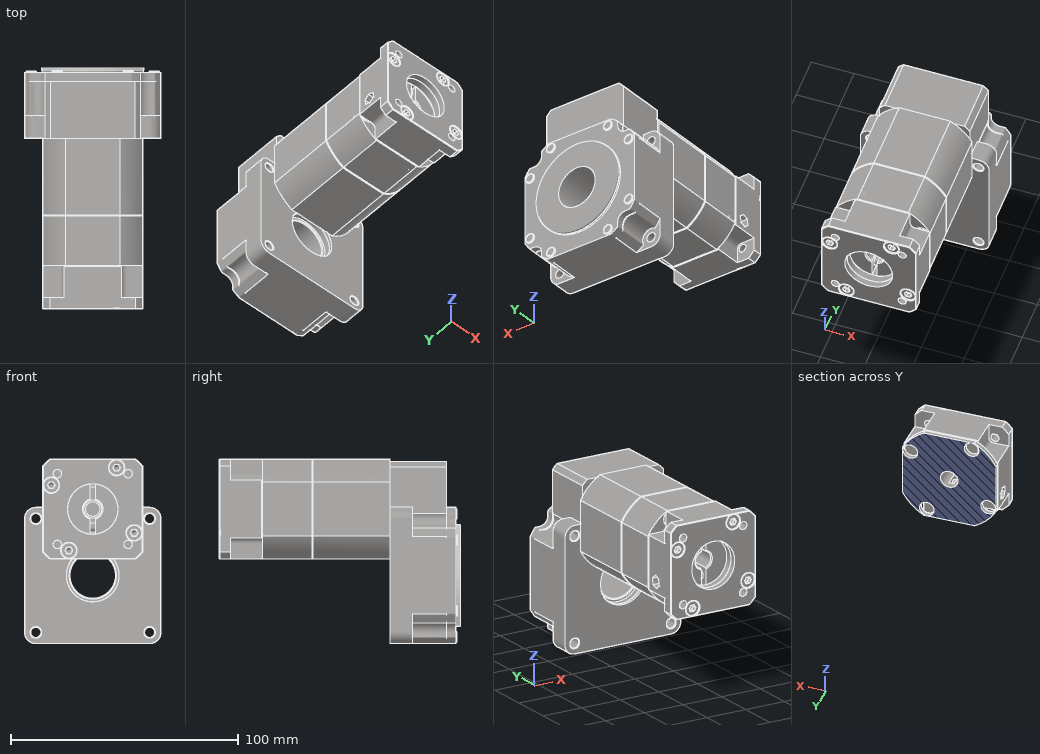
import cadquery as cq
import math

INPUT_AXIS_Z = 29.2

FLANGE_SIZE = 60.0
FLANGE_CORNER_R = 5.0
FLANGE_Y = 10.0
CASE_Y = 25.0
COVER_Y = 29.0
CASE_R = 34.5
BOLT_POS = 25.0
BOLT_D = 4.5
BOLT_CHAMFER = 0.3
CASE_NOTCH_R = 4.6
COVER_NOTCH_R = 4.1
CASE_EDGE_R = 0.7
COVER_EDGE_R = 1.0
INPUT_COVER_SIZE = 42.0
INPUT_COVER_R = 28.0
OUTPUT_RING_R = 22.5
OUTPUT_RING_Y = 31.0
OUTPUT_RING_EDGE_R = 0.3
OUTPUT_SEAT_R = 22.4
OUTPUT_SEAT_Y = 30.0
COVER_SCREW_CIRCLE_R = 31.2
COVER_SCREW_ANGLES = (30, 60, 120, 150, 210, 240, 300, 330)
COVER_SCREW_HEAD_D = 4.6
COVER_SCREW_HEAD_H = 0.6
COVER_SCREW_CHAMFER = 0.25
BORE_D = 20.0
BORE_MOUTH_D = 23.2
BORE_MOUTH_DEPTH = 1.5
BORE_SEAT_D = 23.1
BORE_SEAT_DEPTH = 4.5
BORE_STEP_CHAMFER = 0.4

STAGE_SIZE = 44.0
STAGE_R = 25.0
STAGE_SPLIT = 34.0
JOINT_GROOVE_WIDTH = 0.4
JOINT_GROOVE_DEPTH = 0.2
STAGE_END = 56.0
MOTOR_PLATE_START = 70.0
MOTOR_FACE = 75.0
MOTOR_PLATE_R = 29.0
MOTOR_FACE_CHAMFER = 0.3
NECK_HALF_WIDTH = 12.7
NECK_NOTCH_R = 2.4
MOTOR_BOLT_POS = 22.0 / math.sqrt(2)
MOTOR_BOLT_D = 3.7
SCREW_X, SCREW_Z = 10.5, 18.2
SCREW_HEAD_D = 7.2
SCREW_HEAD_RECESS = 0.3
HEX_SOCKET_D = 3.4
HEX_SOCKET_DEPTH = 2.0
HEX_SOCKET_TIP_D = 2.9
HEX_SOCKET_TIP_DEPTH = 1.5
SCREW_GAP = 0.25
SCREW_GAP_DEPTH = 0.5
STAGE_SCREW_D = 6.6
STAGE_SCREW_DEPTH = 4.0
PILOT_D = 22.2
PILOT_DEPTH = 3.0
LIP_D = 22.1
LIP_DEPTH = 6.5
HUB_D = 26.0
HUB_DEPTH = 8.0
HUB_SLOT_WIDTH = 2.4
HUB_SLOT_DEPTH = 10.0
HUB_SLOT_LEDGE_DEPTH = 2.0
HUB_SLOT_TOP = 9.7
SHAFT_D = 8.0
SHAFT_CHAMFER = 0.5
SHAFT_DEPTH = 18.0
SHAFT_END_D = 6.4
SHAFT_END_DEPTH = 2.0
CLAMP_SCREW_D = 4.0
CLAMP_SCREW_Z = -8.1
ACCESS_Y = -62.6
ACCESS_Z = -7.4
ACCESS_D = 6.0
ACCESS_TILT = 10.0
ACCESS_DEPTH = 10.0


def plane_at(y, z=0.0):
    """Sketch plane facing +Y: local x is -X, local y is +Z."""
    return cq.Workplane(cq.Plane(origin=(0, y, z), xDir=(-1, 0, 0), normal=(0, 1, 0)))


def disc(radius, y_start, y_end, x=0.0, z=0.0):
    return plane_at(y_start, z).center(-x, 0).circle(radius).extrude(y_end - y_start)


def cone(radius_start, radius_end, y_start, y_end, x=0.0, z=0.0):
    solid = cq.Solid.makeCone(
        radius_start, radius_end, y_end - y_start, cq.Vector(x, y_start, z), cq.Vector(0, 1, 0)
    )
    return cq.Workplane(obj=solid)


def trimmed_square(size, radius, y_start, y_end, z=0.0):
    """Square bar along Y whose corners are trimmed by a coaxial round."""
    bar = plane_at(y_start, z).rect(size, size).extrude(y_end - y_start)
    return bar.intersect(disc(radius, y_start, y_end, z=z))


def quarter_turns(x, z):
    """The point (x, z) and its copies every 90 degrees around the axis."""
    return [(x, z), (z, -x), (-x, -z), (-z, x)]


def corner_notch(inner, edge_r, y_start, y_end, quarter, z=0.0):
    """Corner notch starting `inner` from the axis at height z, with its inside edge rounded."""
    width = FLANGE_SIZE / 2
    middle = inner + width / 2
    block = plane_at(y_start).rect(width, width).extrude(y_end - y_start)
    block = block.translate((middle, 0, middle)).edges("|Y and <X and <Z").fillet(edge_r)
    return block.rotate((0, 0, 0), (0, 1, 0), 90 * quarter).translate((0, 0, z))


def bolt_head_clearance(radius, y_start, y_end):
    clearance = cq.Workplane()
    for x, z in quarter_turns(BOLT_POS, BOLT_POS):
        clearance = clearance.add(disc(radius, y_start, y_end, x, z))
    return clearance.combine()


def fillet_corners(section, y_mid, corner_x, corner_z, radius):
    """Round the eight edges along Y that repeat the corner (x, z) around the axis."""
    for x, z in quarter_turns(corner_x, corner_z) + quarter_turns(corner_z, corner_x):
        edge = cq.selectors.NearestToPointSelector((x, y_mid, z))
        section = section.edges(edge).fillet(radius)
    return section


def case_section():
    """Trimmed square with round bolt head clearances, rounded where these open outward."""
    section = trimmed_square(FLANGE_SIZE, CASE_R, FLANGE_Y, CASE_Y)
    section = section.cut(bolt_head_clearance(CASE_NOTCH_R, FLANGE_Y, CASE_Y))
    bolt_r = math.hypot(BOLT_POS, BOLT_POS)
    opening = math.acos((CASE_R**2 + bolt_r**2 - CASE_NOTCH_R**2) / (2 * CASE_R * bolt_r))
    angle = math.pi / 4 - opening
    corner_x = CASE_R * math.cos(angle)
    corner_z = CASE_R * math.sin(angle)
    return fillet_corners(section, (FLANGE_Y + CASE_Y) / 2, corner_x, corner_z, CASE_EDGE_R)


def back_cover():
    """Trimmed square with straight-sided bolt head clearances and rounded outer edges."""
    cover = trimmed_square(FLANGE_SIZE, CASE_R, CASE_Y, COVER_Y)
    notch_side = BOLT_POS - COVER_NOTCH_R
    for quarter in range(4):
        cover = cover.cut(corner_notch(notch_side, COVER_NOTCH_R, CASE_Y, COVER_Y, quarter))
    half = FLANGE_SIZE / 2
    y_mid = (CASE_Y + COVER_Y) / 2
    cover = fillet_corners(cover, y_mid, half, math.sqrt(CASE_R**2 - half**2), COVER_EDGE_R)
    notch_end = math.sqrt(CASE_R**2 - notch_side**2)
    return fillet_corners(cover, y_mid, notch_side, notch_end, COVER_EDGE_R)


def gearbox_case():
    flange = plane_at(0).rect(FLANGE_SIZE, FLANGE_SIZE).extrude(FLANGE_Y)
    flange = flange.edges("|Y").fillet(FLANGE_CORNER_R)
    input_cover = trimmed_square(INPUT_COVER_SIZE, INPUT_COVER_R, 0, CASE_Y, INPUT_AXIS_Z)
    input_cover = input_cover.cut(bolt_head_clearance(CASE_NOTCH_R, FLANGE_Y, CASE_Y))
    return flange.union(case_section()).union(input_cover).union(back_cover())


def output_ring():
    seat = disc(OUTPUT_SEAT_R, COVER_Y, OUTPUT_SEAT_Y)
    ring = disc(OUTPUT_RING_R, OUTPUT_SEAT_Y, OUTPUT_RING_Y)
    return seat.union(ring.faces(">Y").fillet(OUTPUT_RING_EDGE_R))


def hollow_bore():
    bore_r = BORE_D / 2
    bore = disc(bore_r, 0, OUTPUT_RING_Y)
    mouth = disc(BORE_MOUTH_D / 2, 0, BORE_MOUTH_DEPTH)
    seat = disc(BORE_SEAT_D / 2, 0, BORE_SEAT_DEPTH)
    lead_end = BORE_SEAT_DEPTH + BORE_STEP_CHAMFER
    step_lead = cone(bore_r + BORE_STEP_CHAMFER, bore_r, BORE_SEAT_DEPTH, lead_end)
    return bore.union(mouth).union(seat).union(step_lead)


def make_gearbox():
    gearbox = gearbox_case().union(output_ring()).cut(hollow_bore())
    for x, z in quarter_turns(BOLT_POS, BOLT_POS):
        gearbox = gearbox.cut(disc(BOLT_D / 2, 0, FLANGE_Y, x, z))
        gearbox = gearbox.cut(cone(BOLT_D / 2 + BOLT_CHAMFER, BOLT_D / 2, 0, BOLT_CHAMFER, x, z))
    for angle in COVER_SCREW_ANGLES:
        x = COVER_SCREW_CIRCLE_R * math.cos(math.radians(angle))
        z = COVER_SCREW_CIRCLE_R * math.sin(math.radians(angle))
        head = disc(COVER_SCREW_HEAD_D / 2, COVER_Y, COVER_Y + COVER_SCREW_HEAD_H, x, z)
        gearbox = gearbox.union(head.faces(">Y").chamfer(COVER_SCREW_CHAMFER))
    return gearbox


def joint_groove(size, radius, y_start):
    """Shallow groove around a bar of the given section."""
    y_end = y_start + JOINT_GROOVE_WIDTH
    core_size = size - 2 * JOINT_GROOVE_DEPTH
    core_r = radius - JOINT_GROOVE_DEPTH
    core = trimmed_square(core_size, core_r, y_start, y_end, INPUT_AXIS_Z)
    return trimmed_square(size, radius, y_start, y_end, INPUT_AXIS_Z).cut(core)


def gear_stages():
    stages = trimmed_square(STAGE_SIZE, STAGE_R, -STAGE_END, 0, INPUT_AXIS_Z)
    return stages.cut(joint_groove(STAGE_SIZE, STAGE_R, -STAGE_SPLIT - JOINT_GROOVE_WIDTH / 2))


def motor_adapter():
    adapter = trimmed_square(STAGE_SIZE, MOTOR_PLATE_R, -MOTOR_FACE, -STAGE_END, INPUT_AXIS_Z)
    adapter = adapter.faces("<Y").chamfer(MOTOR_FACE_CHAMFER)
    adapter = adapter.cut(joint_groove(STAGE_SIZE, MOTOR_PLATE_R, -STAGE_END - JOINT_GROOVE_WIDTH))
    for quarter in range(4):
        neck_notch = corner_notch(
            NECK_HALF_WIDTH, NECK_NOTCH_R, -MOTOR_PLATE_START, -STAGE_END, quarter, INPUT_AXIS_Z
        )
        adapter = adapter.cut(neck_notch)
    return adapter


def hub_recess():
    """Pilot bore, clamping hub slot with its cross screw, and the motor shaft bore."""
    z = INPUT_AXIS_Z
    hub_y = -MOTOR_FACE + HUB_DEPTH
    slot_bottom = z - HUB_D / 2
    pilot = disc(PILOT_D / 2, -MOTOR_FACE, -MOTOR_FACE + PILOT_DEPTH, z=z)
    lip_y = -MOTOR_FACE + LIP_DEPTH
    lip = disc(LIP_D / 2, -MOTOR_FACE, lip_y, z=z)
    recess = pilot.union(lip).union(disc(HUB_D / 2, lip_y, hub_y, z=z))

    ledge = cq.Workplane().box(HUB_SLOT_WIDTH, HUB_SLOT_LEDGE_DEPTH, HUB_D, (True, False, False))
    ledge = ledge.translate((0, hub_y, slot_bottom))
    slot_height = HUB_D / 2 + HUB_SLOT_TOP
    slot = cq.Workplane().box(HUB_SLOT_WIDTH, HUB_SLOT_DEPTH, slot_height, (True, False, False))
    slot = slot.translate((0, hub_y, slot_bottom))
    clamp_screw = (
        cq.Workplane("YZ", origin=(0, ACCESS_Y, z + CLAMP_SCREW_Z))
        .circle(CLAMP_SCREW_D / 2)
        .extrude(HUB_SLOT_WIDTH, both=True)
    )
    round_limit = disc(HUB_D / 2, hub_y, hub_y + HUB_SLOT_DEPTH, z=z)
    slot = ledge.union(slot).intersect(round_limit).cut(clamp_screw)

    shaft_r = SHAFT_D / 2
    shaft_y = hub_y + SHAFT_DEPTH
    shaft = disc(shaft_r, hub_y, shaft_y, z=z)
    shaft = shaft.union(cone(shaft_r + SHAFT_CHAMFER, shaft_r, hub_y, hub_y + SHAFT_CHAMFER, z=z))
    shaft = shaft.union(disc(SHAFT_END_D / 2, shaft_y, shaft_y + SHAFT_END_DEPTH, z=z))
    return recess.union(slot).union(shaft)


def flange_screw_recess(x, z):
    """Slightly sunk screw head with a ring gap around it and a hexagon socket."""
    head_r = SCREW_HEAD_D / 2
    head_y = -MOTOR_FACE + SCREW_HEAD_RECESS
    gap_y = -MOTOR_FACE + SCREW_GAP_DEPTH
    socket_y = head_y + HEX_SOCKET_DEPTH
    gap = disc(head_r, -MOTOR_FACE, gap_y, x, z)
    head = disc(head_r - SCREW_GAP, head_y, gap_y, x, z)
    socket = plane_at(head_y, z).center(-x, 0).polygon(6, HEX_SOCKET_D).extrude(HEX_SOCKET_DEPTH)
    tip = cone(HEX_SOCKET_TIP_D / 2, 0, socket_y, socket_y + HEX_SOCKET_TIP_DEPTH, x, z)
    return gap.cut(head).union(socket).union(tip)


def clamp_access():
    """Hexagonal access opening in the -X side."""
    hexagon = (
        cq.Workplane("YZ", origin=(-STAGE_SIZE / 2, ACCESS_Y, INPUT_AXIS_Z + ACCESS_Z))
        .transformed(rotate=(0, 0, 90 - ACCESS_TILT))
        .polygon(6, ACCESS_D)
    )
    return hexagon.extrude(ACCESS_DEPTH)


def make_input_stage():
    stage = gear_stages().union(motor_adapter())
    for x, z in quarter_turns(-SCREW_X, SCREW_Z):
        pocket_end = -STAGE_END + STAGE_SCREW_DEPTH
        stage = stage.cut(disc(STAGE_SCREW_D / 2, -STAGE_END, pocket_end, x, INPUT_AXIS_Z + z))
    stage = stage.cut(hub_recess()).cut(clamp_access())
    for x, z in quarter_turns(MOTOR_BOLT_POS, MOTOR_BOLT_POS):
        hole = disc(MOTOR_BOLT_D / 2, -MOTOR_FACE, -MOTOR_PLATE_START, x, INPUT_AXIS_Z + z)
        stage = stage.cut(hole)
    for x, z in quarter_turns(SCREW_X, SCREW_Z):
        stage = stage.cut(flange_screw_recess(x, INPUT_AXIS_Z + z))
    return stage


gearbox = make_gearbox()
input_stage = make_input_stage()
result = cq.Compound.makeCompound([gearbox.val(), input_stage.val()])